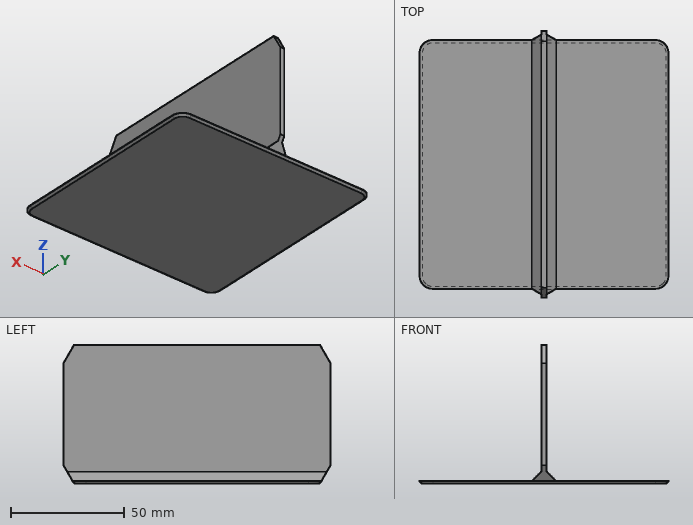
import cadquery as cq
import math

plate_side = 109.8
web_length = 117.7
total_height = 61.2

plate_thickness = 1.3
corner_radius = 5.9
bevel_height = 1.1
bevel_width = 1.2

web_thickness = 2.4
foot_height = 4.1
foot_half_width = web_thickness / 2 + foot_height

end_slope = math.tan(math.radians(60))
top_corner_inset = 4.6
top_corner_drop = top_corner_inset * end_slope
bottom_corner_inset = (web_length - plate_side) / 2
bottom_corner_rise = bottom_corner_inset * end_slope


def make_plate():
    """Square plate with rounded corners and a bevelled underside rim."""
    plate = cq.Workplane("XY").rect(plate_side, plate_side).extrude(plate_thickness)
    plate = plate.edges("|Z").fillet(corner_radius)
    return plate.faces("<Z").edges().chamfer(bevel_height, bevel_width)


def make_web_section():
    """Upright web with triangular feet, as a prism running along Y."""
    half_web = web_thickness / 2
    foot_top = plate_thickness + foot_height
    return (
        cq.Workplane("XZ")
        .moveTo(-foot_half_width, plate_thickness)
        .lineTo(foot_half_width, plate_thickness)
        .lineTo(half_web, foot_top)
        .lineTo(half_web, total_height)
        .lineTo(-half_web, total_height)
        .lineTo(-half_web, foot_top)
        .close()
        .extrude(web_length / 2, both=True)
    )


def make_web_outline():
    """Side outline of the web with its four sloped corners, across the feet."""
    half_length = web_length / 2
    half_top = half_length - top_corner_inset
    half_bottom = half_length - bottom_corner_inset
    upper_z = total_height - top_corner_drop
    lower_z = plate_thickness + bottom_corner_rise
    return (
        cq.Workplane("YZ")
        .moveTo(-half_bottom, plate_thickness)
        .lineTo(half_bottom, plate_thickness)
        .lineTo(half_length, lower_z)
        .lineTo(half_length, upper_z)
        .lineTo(half_top, total_height)
        .lineTo(-half_top, total_height)
        .lineTo(-half_length, upper_z)
        .lineTo(-half_length, lower_z)
        .close()
        .extrude(foot_half_width, both=True)
    )


web = make_web_section().intersect(make_web_outline())
result = make_plate().union(web)